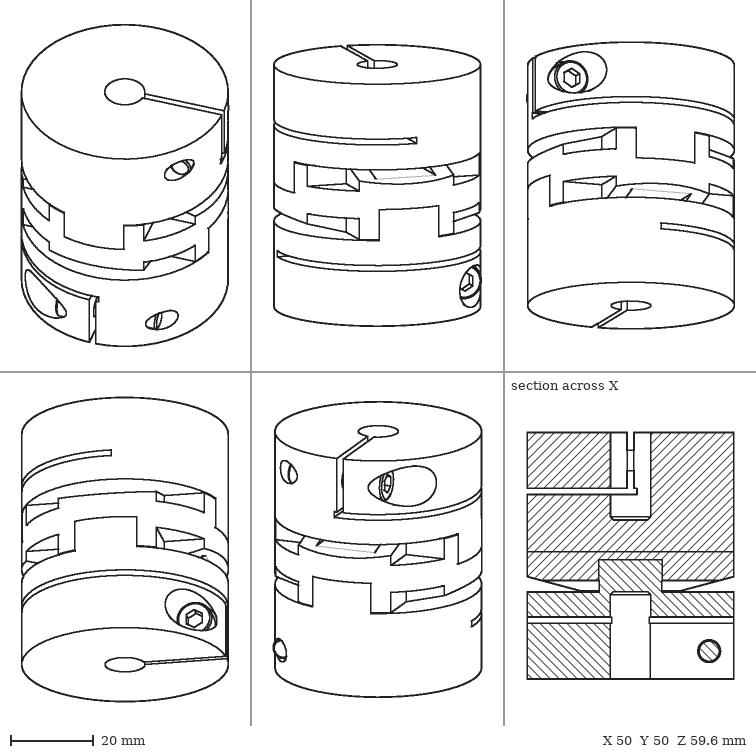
import cadquery as cq
import math


outer_diameter = 50.0
outer_radius = outer_diameter / 2
total_length = 59.6
middle = total_length / 2

flange_top = 21.1
tongue_height = 7.6
tongue_width = 15.2
tongue_top = flange_top + tongue_height
bore_diameter = 9.65
bore_depth = flange_top
bore_chamfer = 0.7
clamp_height = 13.5
relief_height = 1.45
relief_end = 1.55
slit_width = 1.6

screw_offset = 19.0
screw_height = clamp_height / 2
shank_diameter = 5.0
shank_length = 20.0
tip_chamfer = 0.4
head_diameter = 8.5
head_height = shank_diameter
head_chamfer = 0.4
head_seat = -5.0
hex_width = 4.0
hex_depth = 2.5
counterbore_diameter = 10.0
screw_hole_diameter = 5.35

disc_gap = 0.2
disc_bottom = flange_top + disc_gap
disc_height = total_length - 2 * disc_bottom
face_half_width = 12.05
taper_angle = 15.0
channel_depth = 2.5
web_thickness = 6.8


def x_cylinder(diameter, start, end):
    """Cylinder on the screw axis between two X positions."""
    return (
        cq.Workplane("YZ", origin=(start, -screw_offset, screw_height))
        .circle(diameter / 2)
        .extrude(end - start)
    )


def make_screw():
    """Socket head cap screw: the head faces -X and the tip points to +X."""
    head_face = head_seat - head_height
    head = x_cylinder(head_diameter, head_face, head_seat).faces("<X").chamfer(head_chamfer)
    shank = x_cylinder(shank_diameter, head_seat, head_seat + shank_length)
    shank = shank.faces(">X").chamfer(tip_chamfer)

    corner_radius = hex_width / math.sqrt(3)
    cone_depth = corner_radius / math.sqrt(3)
    socket = (
        cq.Workplane("YZ", origin=(head_face, -screw_offset, screw_height))
        .transformed(rotate=(0, 0, 90))
        .polygon(6, 2 * corner_radius)
        .extrude(hex_depth + cone_depth)
    )
    drill = x_cylinder(2 * corner_radius, head_face, head_face + hex_depth)
    cone = cq.Workplane(
        cq.Solid.makeCone(
            corner_radius,
            0,
            cone_depth,
            pnt=cq.Vector(head_face + hex_depth, -screw_offset, screw_height),
            dir=cq.Vector(1, 0, 0),
        )
    )
    socket = socket.intersect(drill.union(cone))
    return head.union(shank).cut(socket)


def make_lower_hub():
    """Hub with its tongue along X, clamped by its own screw."""
    body = cq.Workplane("XY").circle(outer_radius).extrude(flange_top)
    tongue = (
        cq.Workplane("XY", origin=(0, 0, flange_top))
        .rect(outer_diameter, tongue_width)
        .extrude(tongue_height)
        .intersect(cq.Workplane("XY").circle(outer_radius).extrude(tongue_top))
    )
    body = body.union(tongue)

    bore = (
        cq.Workplane("XY")
        .circle(bore_diameter / 2)
        .extrude(bore_depth)
        .faces(">Z")
        .chamfer(bore_chamfer)
    )
    body = body.cut(bore)

    slit = (
        cq.Workplane("XY")
        .rect(slit_width, outer_radius)
        .extrude(clamp_height)
        .translate((0, -outer_radius / 2, 0))
    )
    relief_length = outer_radius + relief_end
    relief = (
        cq.Workplane("XY", origin=(relief_end - relief_length / 2, 0, clamp_height))
        .rect(relief_length, outer_diameter)
        .extrude(relief_height)
    )
    body = body.cut(slit).cut(relief)

    screw_hole = x_cylinder(screw_hole_diameter, head_seat, outer_radius)
    counterbore = x_cylinder(counterbore_diameter, -outer_radius, head_seat)
    body = body.cut(screw_hole).cut(counterbore)
    return body.union(make_screw())


def turn_over(shape):
    """Half turn about the X = -Y diagonal at mid height, which swaps the two ends."""
    return shape.rotate((0, 0, middle), (0.6, -0.6, middle), 180)


def make_disc_top_cuts():
    """Everything removed from the top of the disc."""
    disc_top = disc_bottom + disc_height

    slot_floor = total_length - tongue_top
    cuts = (
        cq.Workplane("XY", origin=(0, 0, slot_floor))
        .rect(tongue_width, outer_diameter)
        .extrude(disc_top - slot_floor)
    )

    edge_width = outer_radius - face_half_width
    drop = edge_width * math.tan(math.radians(taper_angle))
    for side in (-1, 1):
        wedge = (
            cq.Workplane("XZ")
            .moveTo(side * face_half_width, disc_top)
            .lineTo(side * outer_radius, disc_top)
            .lineTo(side * outer_radius, disc_top - drop)
            .close()
            .extrude(outer_radius, both=True)
        )
        cuts = cuts.union(wedge)

    channel = (
        cq.Workplane("XY", origin=(0, 0, disc_top - channel_depth))
        .rect(outer_diameter, tongue_width)
        .extrude(channel_depth)
    )
    cuts = cuts.union(channel)

    pocket_floor = middle + web_thickness / 2
    pocket_spacing = 2 * face_half_width + edge_width
    pockets = (
        cq.Workplane("XY", origin=(0, 0, pocket_floor))
        .rect(pocket_spacing, pocket_spacing, forConstruction=True)
        .vertices()
        .rect(edge_width, edge_width)
        .extrude(disc_top - pocket_floor)
    )
    return cuts.union(pockets)


def make_disc():
    """Floating disc; its underside is its top turned over."""
    blank = cq.Workplane("XY", origin=(0, 0, disc_bottom)).circle(outer_radius).extrude(disc_height)
    top_cuts = make_disc_top_cuts()
    return blank.cut(top_cuts).cut(turn_over(top_cuts))


hubs = []
for is_upper in (False, True):
    hub = make_lower_hub()
    hubs.append(turn_over(hub) if is_upper else hub)

disc = make_disc()

result = cq.Compound.makeCompound([disc.solids().val(), *[hub.solids().val() for hub in hubs]])